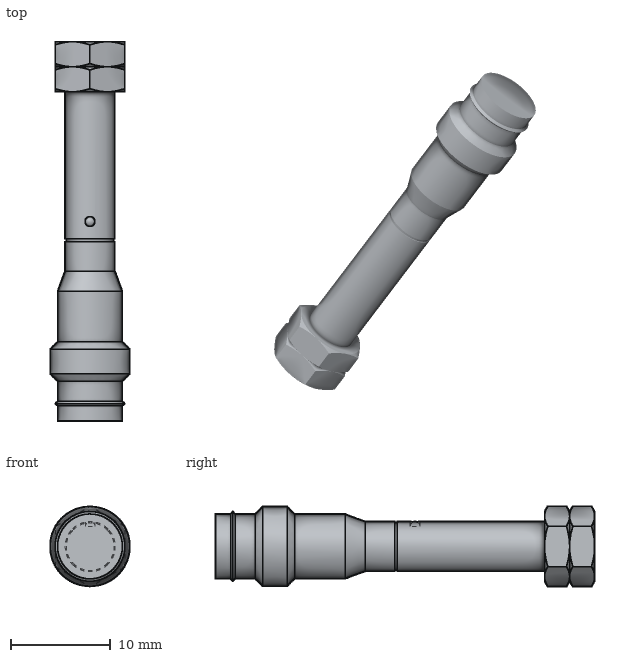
import cadquery as cq
import math

total_length = 38.0
ring_center = 1.75
ring_half_width = 0.23
collar_start = 4.0
collar_end = 7.95
cone_start = 13.0
cone_end = 15.0
groove_start = 17.97
groove_width = 0.25

tube_radius = 2.5
plug_radius = 6.5 / 2
ring_radius = 3.5
collar_radius = 8.0 / 2
groove_depth = 0.1
collar_chamfer = collar_radius - plug_radius

nut_across_flats = 7.0
nut_across_corners = nut_across_flats / math.cos(math.radians(30))
nut_length = 2.5
nut_count = 2
nut_chamfer_angle = 30.0
nut_face_radius = nut_across_flats / 2

ball_radius = 0.5
ball_y = 20.0

tube_end = total_length - nut_count * nut_length


def revolve_about_y(points):
    """Turn a closed (radius, y) outline around the Y axis."""
    outline = cq.Workplane("XY").polyline(points).close()
    return outline.revolve(360, (0, 0, 0), (0, 1, 0))


def turned_body():
    """Plug, ring, collar, cone and grooved tube as one turned profile."""
    groove_end = groove_start + groove_width
    groove_radius = tube_radius - groove_depth
    return revolve_about_y([
        (0, 0),
        (plug_radius, 0),
        (plug_radius, ring_center - ring_half_width),
        (ring_radius, ring_center),
        (plug_radius, ring_center + ring_half_width),
        (plug_radius, collar_start),
        (collar_radius, collar_start + collar_chamfer),
        (collar_radius, collar_end - collar_chamfer),
        (plug_radius, collar_end),
        (plug_radius, cone_start),
        (tube_radius, cone_end),
        (tube_radius, groove_start),
        (groove_radius, groove_start),
        (groove_radius, groove_end),
        (tube_radius, groove_end),
        (tube_radius, tube_end),
        (0, tube_end),
    ])


def nut(start):
    """Hexagonal section with conically chamfered corners at both ends."""
    corner_radius = nut_across_corners / 2
    chamfer_length = (corner_radius - nut_face_radius) * math.tan(math.radians(nut_chamfer_angle))
    hexagon = (
        cq.Workplane("XZ", origin=(0, start, 0))
        .transformed(rotate=(0, 0, 90))
        .polygon(6, nut_across_corners)
        .extrude(-nut_length)
    )
    end = start + nut_length
    envelope = revolve_about_y([
        (0, start),
        (nut_face_radius, start),
        (corner_radius, start + chamfer_length),
        (corner_radius, end - chamfer_length),
        (nut_face_radius, end),
        (0, end),
    ])
    return hexagon.intersect(envelope)


def add_ball(body):
    """Bore a pocket down to the ball's center and seat the ball flush with the tube."""
    center_z = tube_radius - ball_radius
    pocket = (
        cq.Workplane("XY", origin=(0, ball_y, center_z))
        .circle(ball_radius)
        .extrude(ball_radius)
    )
    ball = cq.Workplane("XY").sphere(ball_radius).translate((0, ball_y, center_z))
    return body.cut(pocket).union(ball)


result = add_ball(turned_body())
for index in range(nut_count):
    result = result.union(nut(tube_end + index * nut_length))

result = result.translate((0, -total_length / 2, 0))